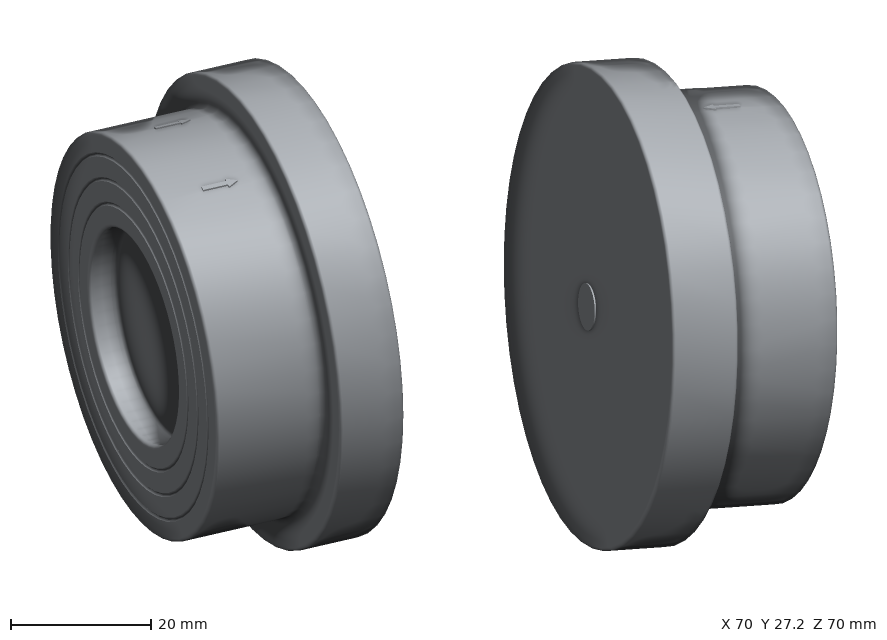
import cadquery as cq
import math


flange_radius = 35.0
flange_length = 10.0
hub_radius = 30.0
total_length = 27.0
edge_round = 0.5
hub_root_round = 1.0

bore_radius = 16.0
bore_length = 3.5

groove_outer_radii = (27.0, 23.4, 19.8)
groove_width = 0.6
groove_depth = groove_width / 2

plug_radius = 17.0
dish_depth = 1.0
dish_round = 0.5
back_boss_radius = 3.4
relief_height = 0.24

arrow_pair_center = 1.0
arrow_spacing = 16.9
arrow_tip_y = -14.85
arrow_head_length = 1.65
arrow_head_width = 1.5
arrow_length = 5.5
arrow_shaft_width = 0.65

front_y = -total_length
flange_front_y = -flange_length
shoulder_y = front_y + bore_length
round_middle = 1 - math.sqrt(0.5)


def revolve_about_y(profile):
    """Revolve a closed profile, drawn as (radius, y), about the Y axis."""
    return profile.close().revolve(360, (0, 0, 0), (0, 1, 0))


def make_shell():
    """Flange and hub with rounded edges and the stepped bore."""
    near = edge_round * round_middle
    root = hub_root_round * round_middle
    profile = (
        cq.Workplane("XY")
        .moveTo(plug_radius, 0)
        .lineTo(flange_radius - edge_round, 0)
        .threePointArc((flange_radius - near, -near), (flange_radius, -edge_round))
        .lineTo(flange_radius, flange_front_y + edge_round)
        .threePointArc(
            (flange_radius - near, flange_front_y + near),
            (flange_radius - edge_round, flange_front_y),
        )
        .lineTo(hub_radius + hub_root_round, flange_front_y)
        .threePointArc(
            (hub_radius + root, flange_front_y - root),
            (hub_radius, flange_front_y - hub_root_round),
        )
        .lineTo(hub_radius, front_y + edge_round)
        .threePointArc(
            (hub_radius - near, front_y + near),
            (hub_radius - edge_round, front_y),
        )
        .lineTo(bore_radius + edge_round, front_y)
        .threePointArc(
            (bore_radius + near, front_y + near),
            (bore_radius, front_y + edge_round),
        )
        .lineTo(bore_radius, shoulder_y)
        .lineTo(plug_radius, shoulder_y)
    )
    return revolve_about_y(profile)


def make_groove(outer_radius):
    """Ring-shaped V cutter for one sealing groove."""
    profile = (
        cq.Workplane("XY")
        .moveTo(outer_radius, front_y)
        .lineTo(outer_radius - groove_width / 2, front_y + groove_depth)
        .lineTo(outer_radius - groove_width, front_y)
    )
    return revolve_about_y(profile)


def make_arrow(center_x):
    """Flow arrow pointing toward +Y, raised above the hub surface."""
    head_base_y = arrow_tip_y - arrow_head_length
    tail_y = arrow_tip_y - arrow_length
    half_head = arrow_head_width / 2
    half_shaft = arrow_shaft_width / 2
    outline = [
        (center_x, arrow_tip_y),
        (center_x + half_head, head_base_y),
        (center_x + half_shaft, head_base_y),
        (center_x + half_shaft, tail_y),
        (center_x - half_shaft, tail_y),
        (center_x - half_shaft, head_base_y),
        (center_x - half_head, head_base_y),
    ]
    block = cq.Workplane("XY").polyline(outline).close().extrude(flange_radius)
    relief_ring = (
        cq.Workplane("XZ")
        .circle(hub_radius + relief_height)
        .circle(hub_radius - relief_height)
        .extrude(total_length)
    )
    return block.intersect(relief_ring)


def make_housing():
    housing = make_shell()
    for outer_radius in groove_outer_radii:
        housing = housing.cut(make_groove(outer_radius))
    for side in (-1, 1):
        housing = housing.union(make_arrow(arrow_pair_center + side * arrow_spacing / 2))
    return housing


def make_plug():
    """Plug with a shallow dish facing the bore and a low boss at the back."""
    dish_floor_y = shoulder_y + dish_depth
    near = dish_round * round_middle
    profile = (
        cq.Workplane("XY")
        .moveTo(0, dish_floor_y)
        .lineTo(bore_radius - dish_round, dish_floor_y)
        .threePointArc(
            (bore_radius - near, dish_floor_y - near),
            (bore_radius, dish_floor_y - dish_round),
        )
        .lineTo(bore_radius, shoulder_y)
        .lineTo(plug_radius, shoulder_y)
        .lineTo(plug_radius, 0)
        .lineTo(back_boss_radius, 0)
        .lineTo(back_boss_radius, relief_height)
        .lineTo(0, relief_height)
    )
    return revolve_about_y(profile)


housing = make_housing()
plug = make_plug()

result = cq.Compound.makeCompound([housing.val(), plug.val()])